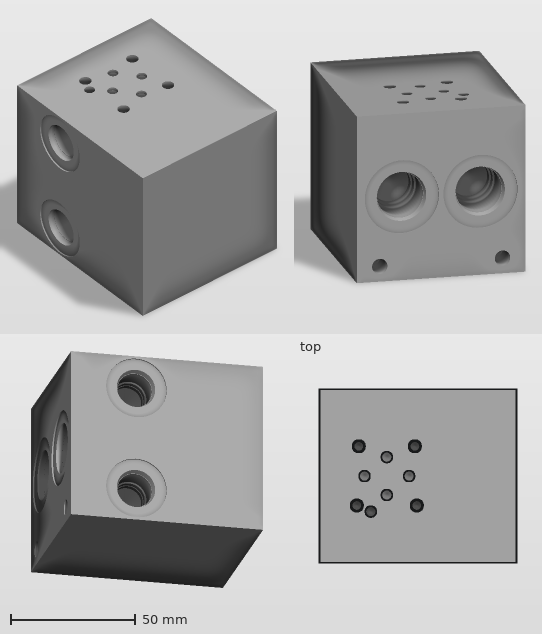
import cadquery as cq
import math

LENGTH, WIDTH, HEIGHT = 79.4, 69.85, 69.85
DRILL_POINT_ANGLE = 118.0

PATTERN_X = 27.15
PATTERN_Y = WIDTH / 2
PASSAGE_DIA, PASSAGE_DEPTH = 4.4, 1.35
PASSAGE_OFFSET_X, PASSAGE_OFFSET_Y = 9.0, 7.6
PIN_OFFSET_X, PIN_OFFSET_Y = -6.4, -14.3
PIN_DEPTH = 4.8
BOLT_THREAD_DIA, BOLT_DRILL_DIA = 5.0, 4.2
BOLT_THREAD_DEPTH, BOLT_DRILL_DEPTH = 12.7, 15.9
BACK_BOLT_OFFSET_X, BACK_BOLT_OFFSET_Y = 11.3, 12.0
FRONT_BOLT_OFFSET_X, FRONT_BOLT_OFFSET_Y = 12.1, -11.8

SPOTFACE_DEPTH = 0.6
SEAL_CONE_DEPTH = 3.2

FRONT_PORT_X = 27.0
FRONT_PORT_EDGE = 13.5
FRONT_SPOTFACE_DIA = 25.0
FRONT_CONE_DIAS = (15.9, 14.5)
FRONT_BORES = ((14.3, 12.7), (12.9, 15.1), (12.3, 17.5))

SIDE_PORT_OFFSET_Y = 16.3
SIDE_PORT_Z = HEIGHT / 2
SIDE_SPOTFACE_DIA = 30.65
SIDE_CONE_DIAS = (20.5, 19.3)
SIDE_BORES = ((19.05, 15.1), (17.5, 18.25), (15.9, 21.4))

MOUNT_OFFSET_Y = 25.4
MOUNT_Z = 6.35
MOUNT_THREAD_DIA, MOUNT_DRILL_DIA = 6.35, 5.1
MOUNT_THREAD_DEPTH, MOUNT_DRILL_DEPTH = 12.7, 15.9


def bore_profile(bores):
    """Radius and depth points of stepped bores, ending in a drill point on the axis."""
    points = []
    start = 0.0
    for diameter, depth in bores:
        points += [(diameter / 2, start), (diameter / 2, depth)]
        start = depth
    last_diameter, last_depth = bores[-1]
    point_length = last_diameter / 2 / math.tan(math.radians(DRILL_POINT_ANGLE / 2))
    return points + [(0, last_depth + point_length)]


def port_profile(spotface_dia, cone_dias, bores):
    """Radius and depth points of a port: spotface, seal cone, stepped bores."""
    mouth_dia, throat_dia = cone_dias
    mouth = [
        (spotface_dia / 2, 0),
        (spotface_dia / 2, SPOTFACE_DEPTH),
        (mouth_dia / 2, SPOTFACE_DEPTH),
        (throat_dia / 2, SEAL_CONE_DEPTH),
    ]
    bore_points = bore_profile(bores)
    thread_dia = bores[0][0]
    return mouth + [(thread_dia / 2, SEAL_CONE_DEPTH)] + bore_points[1:]


def turned_cutter(profile, position, direction):
    """Solid of revolution whose depth runs from position along direction."""
    radial = (0, 1, 0) if direction[1] == 0 else (1, 0, 0)
    axes = cq.Plane(origin=position, xDir=radial, normal=cq.Vector(*radial).cross(cq.Vector(*direction)))
    return cq.Workplane(axes).polyline([(0, 0)] + profile).close().revolve(360, (0, 0), (0, 1))


def top_pattern_cutters():
    down = (0, 0, -1)
    passage = bore_profile([(PASSAGE_DIA, PASSAGE_DEPTH)])
    pin = bore_profile([(PASSAGE_DIA, PIN_DEPTH)])
    bolt = bore_profile([(BOLT_THREAD_DIA, BOLT_THREAD_DEPTH), (BOLT_DRILL_DIA, BOLT_DRILL_DEPTH)])
    holes = [(pin, PIN_OFFSET_X, PIN_OFFSET_Y)]
    for side in (-1, 1):
        holes += [
            (passage, side * PASSAGE_OFFSET_X, 0),
            (passage, 0, side * PASSAGE_OFFSET_Y),
            (bolt, side * BACK_BOLT_OFFSET_X, BACK_BOLT_OFFSET_Y),
            (bolt, side * FRONT_BOLT_OFFSET_X, FRONT_BOLT_OFFSET_Y),
        ]
    return [turned_cutter(profile, (PATTERN_X + x, PATTERN_Y + y, HEIGHT), down) for profile, x, y in holes]


def front_port_cutters():
    profile = port_profile(FRONT_SPOTFACE_DIA, FRONT_CONE_DIAS, FRONT_BORES)
    heights = (FRONT_PORT_EDGE, HEIGHT - FRONT_PORT_EDGE)
    return [turned_cutter(profile, (FRONT_PORT_X, 0, z), (0, 1, 0)) for z in heights]


def left_face_cutters():
    port = port_profile(SIDE_SPOTFACE_DIA, SIDE_CONE_DIAS, SIDE_BORES)
    mount = bore_profile([(MOUNT_THREAD_DIA, MOUNT_THREAD_DEPTH), (MOUNT_DRILL_DIA, MOUNT_DRILL_DEPTH)])
    inward = (1, 0, 0)
    cutters = []
    for side in (-1, 1):
        port_y = WIDTH / 2 + side * SIDE_PORT_OFFSET_Y
        mount_y = WIDTH / 2 + side * MOUNT_OFFSET_Y
        cutters.append(turned_cutter(port, (0, port_y, SIDE_PORT_Z), inward))
        cutters.append(turned_cutter(mount, (0, mount_y, MOUNT_Z), inward))
    return cutters


result = cq.Workplane("XY").box(LENGTH, WIDTH, HEIGHT, centered=False)
for cutter in top_pattern_cutters() + front_port_cutters() + left_face_cutters():
    result = result.cut(cutter)